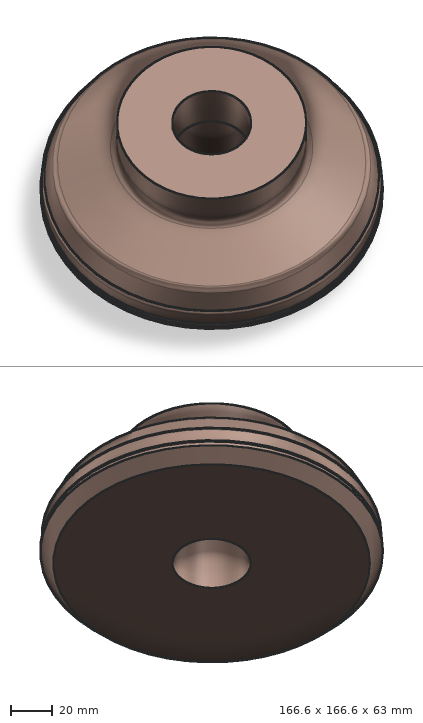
import cadquery as cq
import math

outer_radius = 83.3
total_height = 63.0

foot_radius = 77.0
bead_bottom = 6.8
bead_top = 9.2
band_radius = 165.5 / 2
band_bottom = 10.5
seam_height = 18.8
shoulder_fillet = 1.7
base_bore_radius = 38.2 / 2

spigot_radius = 88.5 / 2
spigot_top = 38.3

cap_bore_radius = 38.3 / 2
neck_radius = 92.0 / 2
cap_foot_radius = 81.5
cap_lip_height = 0.5
brow_radius = 76.6
brow_height = 29.8
flare_top_height = 44.5
brow_fillet = 5.0
neck_fillet = 5.7


def revolve_about_z(profile):
    """Revolve a profile, drawn as radius and height, about the Z axis."""
    return profile.close().revolve(360, (0, 0, 0), (0, 1, 0))


def fillet_corner(before, corner, after, radius):
    """Return the start, middle and end of the arc that rounds a corner."""
    to_before = (cq.Vector(*before) - cq.Vector(*corner)).normalized()
    to_after = (cq.Vector(*after) - cq.Vector(*corner)).normalized()
    half_angle = to_before.getAngle(to_after) / 2
    setback = radius / math.tan(half_angle)
    bisector = (to_before + to_after).normalized()
    middle_distance = radius / math.sin(half_angle) - radius
    vertex = cq.Vector(*corner)
    arc_points = (
        vertex + to_before * setback,
        vertex + bisector * middle_distance,
        vertex + to_after * setback,
    )
    return [(point.x, point.y) for point in arc_points]


def make_base():
    """Disc with a rim bead, a rounded shoulder and a bored spigot."""
    shoulder = fillet_corner(
        (band_radius, band_bottom),
        (band_radius, seam_height),
        (spigot_radius, seam_height),
        shoulder_fillet,
    )
    profile = (
        cq.Workplane("XZ")
        .moveTo(base_bore_radius, 0)
        .lineTo(foot_radius, 0)
        .lineTo(outer_radius, bead_bottom)
        .lineTo(outer_radius, bead_top)
        .lineTo(band_radius, band_bottom)
        .lineTo(*shoulder[0])
        .threePointArc(*shoulder[1:])
        .lineTo(spigot_radius, seam_height)
        .lineTo(spigot_radius, spigot_top)
        .lineTo(base_bore_radius, spigot_top)
    )
    return revolve_about_z(profile)


def make_cap():
    """Flared cover with a bored neck, recessed underneath for the spigot."""
    skirt_foot = (cap_foot_radius, seam_height + cap_lip_height)
    brow_corner = (brow_radius, brow_height)
    neck_corner = (neck_radius, flare_top_height)
    neck_top = (neck_radius, total_height)
    brow = fillet_corner(skirt_foot, brow_corner, neck_corner, brow_fillet)
    neck = fillet_corner(brow_corner, neck_corner, neck_top, neck_fillet)
    profile = (
        cq.Workplane("XZ")
        .moveTo(spigot_radius, seam_height)
        .lineTo(cap_foot_radius, seam_height)
        .lineTo(*skirt_foot)
        .lineTo(*brow[0])
        .threePointArc(*brow[1:])
        .lineTo(*neck[0])
        .threePointArc(*neck[1:])
        .lineTo(*neck_top)
        .lineTo(cap_bore_radius, total_height)
        .lineTo(cap_bore_radius, spigot_top)
        .lineTo(spigot_radius, spigot_top)
    )
    return revolve_about_z(profile)


base = make_base()
cap = make_cap()

result = cq.Compound.makeCompound([base.val(), cap.val()])